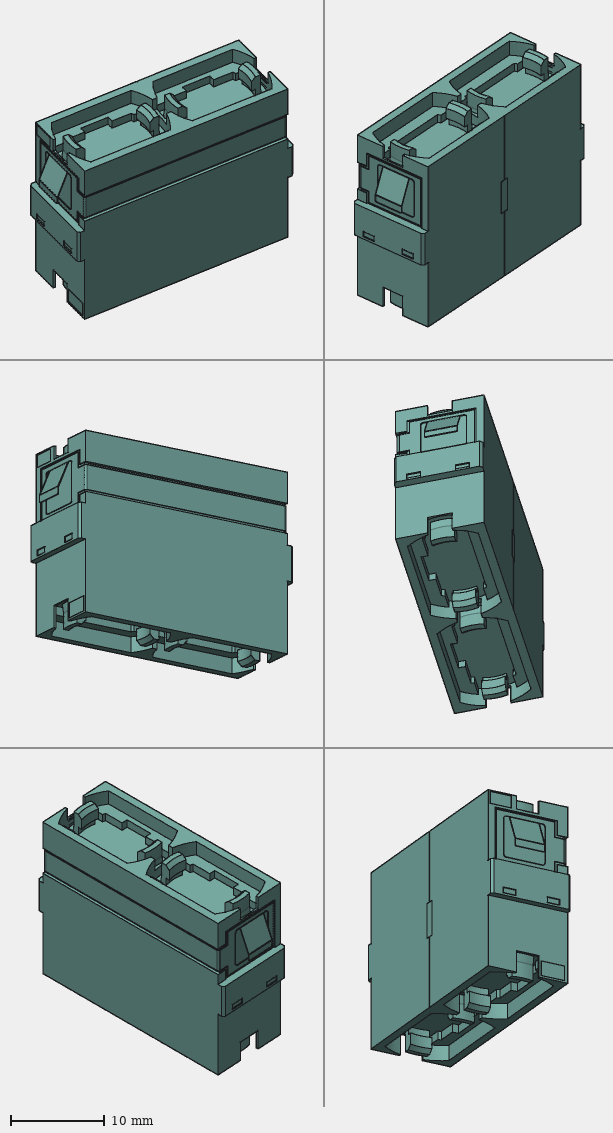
import cadquery as cq

WIDTH = 9.8
HEIGHT = 20.6
HALF_LENGTH = 12.93
HALF_CENTRES = (HALF_LENGTH / 2, -HALF_LENGTH / 2)
SIDE = WIDTH / 2
TOP = HEIGHT / 2
EDGE_BEVEL = 0.15
EDGE_BEVEL_DEPTH = 0.03

FLANGE_LENGTH = 27.48
FLANGE_HEIGHT = 4.05
FLANGE_CHAMFER = 0.28
SEAM_PATCH_LENGTH = 1.05
SHALLOW = 0.03
SLOT_CENTRES_X = (-2.7, 2.7)
SLOT_CENTRE_Z = -1.42
SLOT_WIDTH = 1.53
SLOT_HEIGHT = 0.65
SLOT_DEPTH = 0.15

MOUTH_HALF_WIDTH = 3.92
MOUTH_STRAIGHT = 5.05
MOUTH_REACH = 6.3
MOUTH_DEPTH = 1.8
POCKET_DEPTH = 2.79
POCKET_HALF_WIDTH = 2.5
POCKET_HALF_LENGTH = 4.18
POCKET_TAPER = 0.1
NECK_HALF_WIDTH = 2.13
KEY_REACH = 3.27
KEY_HALF_LENGTH = 1.73
END_RISE = MOUTH_REACH - MOUTH_STRAIGHT
END_RADIUS = (MOUTH_HALF_WIDTH**2 + END_RISE**2) / (2 * END_RISE)
END_ARC_Y = MOUTH_REACH - END_RADIUS

LATCH_WIDTH = 2.61
LATCH_TIP = 4.3
LATCH_NECK = 4.77
LATCH_BACK = 5.4
LATCH_TOE = 5.57
LATCH_LEAD_IN = LATCH_NECK - LATCH_TIP

NOTCH_WIDTH = 2.75
TOP_NOTCH_DEPTH = 1.53
BOTTOM_NOTCH_DEPTH = 2.5
NOTCH_THROUGH = 0.85

UPPER_LABEL = (-4.63, -2.05, 8.75, 10.15)
LOWER_LABEL = (1.65, 4.5, -10.05, -8.35)

SHEET = 0.1
STRAP_INSET = 0.09
CLIP_BEND = 0.28
CLIP_X_START = -3.85
CLIP_X_SHOULDER = 3.35
CLIP_X_END = SIDE - STRAP_INSET
CLIP_BOTTOM = 2.22
CLIP_TOP = 8.27
STRAP_BOTTOM = 3.65
STRAP_TOP = 6.48
CLIP_FACE = HALF_LENGTH
WINDOW_X = (-2.95, 2.13)
WINDOW_Z = (2.9, 7.7)
WINDOW_CORNER = 0.35
TONGUE_X = (-2.25, 1.4)
TONGUE_REACH = 14.2
TONGUE_BEND_Z = 4.72
TONGUE_TIP_Z = 3.85
TONGUE_CORNER = 0.17

SEAT_GAP = 0.28
SEAT_MARGIN = 0.17
SEAT_FLOOR_X = 4.5
SEAT_FLOOR_Y = CLIP_FACE - SHEET


def block(x_range, y_range, z_range):
    """Box spanning the given ranges."""
    size = [end - start for start, end in (x_range, y_range, z_range)]
    origin = (x_range[0], y_range[0], z_range[0])
    return cq.Workplane("XY").box(*size, centered=False).translate(origin)


def front_prism(points, y_start, y_end):
    """Outline in X and Z, extruded along Y."""
    outline = cq.Workplane("XZ", origin=(0, y_end, 0)).polyline(points).close()
    return outline.extrude(y_end - y_start)


def shouldered_outline(x_start, x_shoulder, x_end, z_low, z_high, strap_low, strap_high):
    """Rectangle with a narrower arm reaching to x_end."""
    return [
        (x_start, z_low), (x_shoulder, z_low), (x_shoulder, strap_low), (x_end, strap_low),
        (x_end, strap_high), (x_shoulder, strap_high), (x_shoulder, z_high), (x_start, z_high),
    ]



def housing_half(centre_y):
    """Plain block of one half with bevelled upright edges on the -X side."""
    end = HALF_LENGTH / 2
    outline = [
        (SIDE, -end), (SIDE, end), (-SIDE + EDGE_BEVEL_DEPTH, end), (-SIDE, end - EDGE_BEVEL),
        (-SIDE, -end + EDGE_BEVEL), (-SIDE + EDGE_BEVEL_DEPTH, -end),
    ]
    base = cq.Workplane("XY", origin=(0, centre_y, -TOP))
    return base.polyline(outline).close().extrude(HEIGHT)


def flange():
    """Middle band with chamfered corners."""
    band = cq.Workplane("XY").box(WIDTH, FLANGE_LENGTH, FLANGE_HEIGHT)
    return band.edges("|Z").chamfer(FLANGE_CHAMFER)


def seam_patch():
    """Shallow recess where the flange crosses the seam between the halves."""
    patch_y = (-SEAM_PATCH_LENGTH / 2, SEAM_PATCH_LENGTH / 2)
    patch_z = (-FLANGE_HEIGHT / 2, FLANGE_HEIGHT / 2)
    return block((-SIDE, -SIDE + SHALLOW), patch_y, patch_z)


def mouth_prism(depth):
    """Round-ended mouth cut down from the top face."""
    w, s, r = MOUTH_HALF_WIDTH, MOUTH_STRAIGHT, MOUTH_REACH
    outline = cq.Workplane("XY", origin=(0, 0, TOP - depth)).moveTo(-w, -s)
    outline = outline.threePointArc((0, -r), (w, -s)).lineTo(w, s).threePointArc((0, r), (-w, s)).close()
    return outline.extrude(depth)


def port_cutter():
    """Mouth plus the keyed pocket below its ledge."""
    z_range = (TOP - POCKET_DEPTH, TOP)
    neck_start = POCKET_HALF_LENGTH + POCKET_TAPER
    corner = [
        (POCKET_HALF_WIDTH, POCKET_HALF_LENGTH), (NECK_HALF_WIDTH, neck_start), (NECK_HALF_WIDTH, MOUTH_REACH),
    ]
    right_side = [(x, -y) for x, y in reversed(corner)] + corner
    outline = right_side + [(-x, y) for x, y in reversed(right_side)]
    pocket = cq.Workplane("XY", origin=(0, 0, z_range[0])).polyline(outline).close().extrude(POCKET_DEPTH)
    key = block((-KEY_REACH, 0), (-KEY_HALF_LENGTH, KEY_HALF_LENGTH), z_range)
    keyed_pocket = pocket.union(key).intersect(mouth_prism(POCKET_DEPTH))
    return mouth_prism(MOUTH_DEPTH).union(keyed_pocket)


def latch():
    """Hook at the +Y end of a port: revolved profile trimmed to the latch width."""
    head_z = TOP - MOUTH_DEPTH
    floor_z = TOP - POCKET_DEPTH
    profile = [
        (LATCH_NECK, floor_z), (LATCH_NECK, head_z), (LATCH_TIP, head_z), (LATCH_TIP, TOP - LATCH_LEAD_IN),
        (LATCH_NECK, TOP), (LATCH_BACK, TOP), (LATCH_BACK, head_z), (LATCH_TOE, floor_z),
    ]
    ring = cq.Workplane("YZ").polyline(profile).close().revolve(360, (END_ARC_Y, 0, 0), (END_ARC_Y, 1, 0))
    trim = block((-LATCH_WIDTH / 2, LATCH_WIDTH / 2), (0, MOUTH_REACH), (floor_z, TOP))
    return ring.intersect(trim)


def notch_cutters(depth):
    """Notches cut from the top through the outer walls and the middle wall."""
    x_range = (-NOTCH_WIDTH / 2, NOTCH_WIDTH / 2)
    cutter = block(x_range, (-NOTCH_THROUGH / 2, NOTCH_THROUGH / 2), (TOP - depth, TOP))
    return [cutter.translate((0, y, 0)) for y in (-HALF_LENGTH, 0, HALF_LENGTH)]


def turn_over(shape):
    """Half turn about Y, which carries a top feature to the bottom."""
    return shape.rotate((0, 0, 0), (0, 1, 0), 180)


def clip_seat():
    """Recess in both end faces joined by a groove along the +X side."""
    outline = shouldered_outline(
        CLIP_X_START - SEAT_MARGIN, CLIP_X_SHOULDER + SEAT_GAP, SIDE, FLANGE_HEIGHT / 2,
        CLIP_TOP + SEAT_MARGIN, STRAP_BOTTOM - SEAT_GAP, STRAP_TOP + SEAT_GAP,
    )
    through = front_prism(outline, -HALF_LENGTH, HALF_LENGTH)
    core = block((-SIDE, SEAT_FLOOR_X), (-SEAT_FLOOR_Y, SEAT_FLOOR_Y), (-TOP, TOP))
    return through.cut(core)


def flange_slot(centre_x):
    """Small pocket in the -Y face of the flange."""
    face = -FLANGE_LENGTH / 2
    x_range = (centre_x - SLOT_WIDTH / 2, centre_x + SLOT_WIDTH / 2)
    z_range = (SLOT_CENTRE_Z - SLOT_HEIGHT / 2, SLOT_CENTRE_Z + SLOT_HEIGHT / 2)
    return block(x_range, (face, face + SLOT_DEPTH), z_range)


def label_panel(x_start, x_end, z_start, z_end):
    """Shallow rectangular panel in the -Y face."""
    return block((x_start, x_end), (-HALF_LENGTH, -HALF_LENGTH + SHALLOW), (z_start, z_end))


def build_housing():
    body = flange()
    for centre_y in HALF_CENTRES:
        body = body.union(housing_half(centre_y))
    body = body.cut(seam_patch())

    for centre_y in HALF_CENTRES:
        port = port_cutter().translate((0, centre_y, 0))
        body = body.cut(port).cut(turn_over(port))
    for notch in notch_cutters(TOP_NOTCH_DEPTH):
        body = body.cut(notch)
    for notch in notch_cutters(BOTTOM_NOTCH_DEPTH):
        body = body.cut(turn_over(notch))
    body = body.cut(clip_seat())

    for centre_y in HALF_CENTRES:
        for hook in (latch(), latch().mirror("XZ")):
            hook = hook.translate((0, centre_y, 0))
            body = body.union(hook).union(turn_over(hook))

    for centre_x in SLOT_CENTRES_X:
        slot = flange_slot(centre_x)
        body = body.cut(slot).cut(slot.mirror("XZ"))
    for panel in (UPPER_LABEL, LOWER_LABEL):
        body = body.cut(label_panel(*panel))
    return body



def spring_tongue():
    """Tongue on the -Y side, sloping outward from the window top to an upright tip."""
    z_root = WINDOW_Z[1]
    profile = [
        (-CLIP_FACE, z_root), (-TONGUE_REACH, TONGUE_BEND_Z), (-TONGUE_REACH, TONGUE_TIP_Z),
        (-TONGUE_REACH + SHEET, TONGUE_TIP_Z), (-TONGUE_REACH + SHEET, TONGUE_BEND_Z),
        (-CLIP_FACE + SHEET, z_root),
    ]
    base = cq.Workplane("YZ", origin=(TONGUE_X[0], 0, 0)).polyline(profile).close()
    tongue = base.extrude(TONGUE_X[1] - TONGUE_X[0])
    return tongue.faces("<Z").edges("|Y").fillet(TONGUE_CORNER)


def build_clip():
    z_range = (CLIP_BOTTOM, CLIP_TOP)
    outer = block((CLIP_X_START, CLIP_X_END), (-CLIP_FACE, CLIP_FACE), z_range)
    outer = outer.edges("|Z and >X").fillet(CLIP_BEND)
    inner = block((CLIP_X_START, CLIP_X_END - SHEET), (-SEAT_FLOOR_Y, SEAT_FLOOR_Y), z_range)
    inner = inner.edges("|Z and >X").fillet(CLIP_BEND - SHEET)
    outline = shouldered_outline(
        CLIP_X_START, CLIP_X_SHOULDER, CLIP_X_END, CLIP_BOTTOM, CLIP_TOP, STRAP_BOTTOM, STRAP_TOP,
    )
    sheet = outer.cut(inner).intersect(front_prism(outline, -CLIP_FACE, CLIP_FACE))
    window = block(WINDOW_X, (-CLIP_FACE, CLIP_FACE), WINDOW_Z).edges("|Y").fillet(WINDOW_CORNER)
    sheet = sheet.cut(window)
    tongue = spring_tongue()
    return sheet.union(tongue).union(tongue.mirror("XZ"))


housing = build_housing()
clip = build_clip()
result = cq.Compound.makeCompound([*housing.solids().vals(), *clip.solids().vals()])